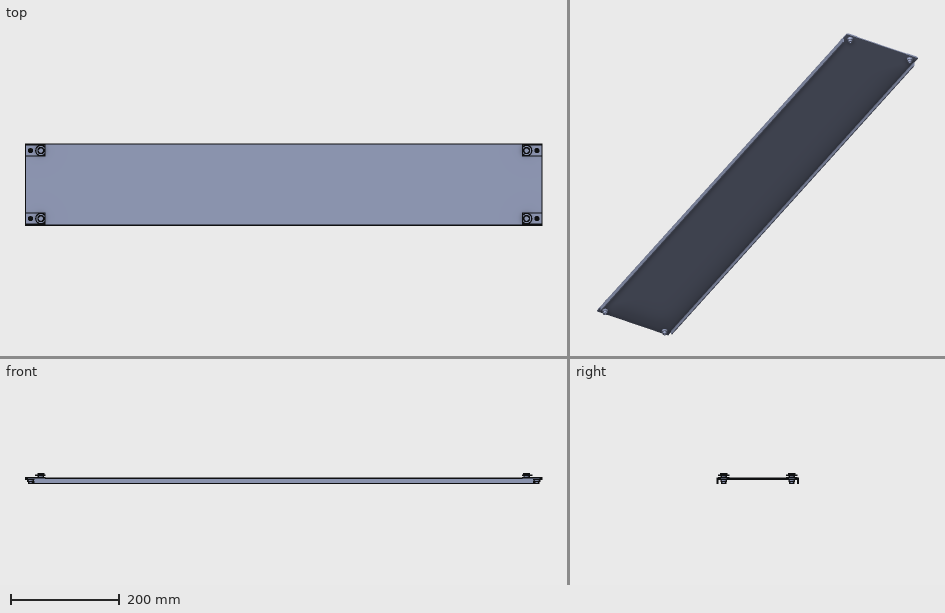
import cadquery as cq

panel_length = 950.0
panel_width = 150.0
sheet = 2.0
panel_top = 10.0
flange_length = 920.0
flange_thickness = 2.0

plate_length = 36.5
plate_width = 20.0
plate_thickness = 1.0
plate_edge_gap = 2.5
plate_top = panel_top + plate_thickness

stud_end_gap = 9.5
stud_diameter = 7.5
stud_bore = 3.0
collar_diameter = 11.0
collar_bottom = 4.0

knob_end_gap = 28.5
overall_height = 18.6
neck_diameter = 10.0
disc_diameter = 19.0
disc_bottom = 15.0
disc_top = 16.0
cap_diameter = 11.5

plate_center_y = panel_width / 2 - plate_edge_gap - plate_width / 2
stud_x = panel_length / 2 - stud_end_gap
knob_x = panel_length / 2 - knob_end_gap
plate_center_x = (panel_length - plate_length) / 2

corners = [(sx, sy) for sx in (-1, 1) for sy in (-1, 1)]


def block(length, width, bottom, top, x=0.0, y=0.0):
    """Rectangular block centred on (x, y) between two heights."""
    return cq.Workplane("XY", origin=(x, y, bottom)).rect(length, width).extrude(top - bottom)


def cylinder(diameter, bottom, top, x, y):
    """Upright cylinder centred on (x, y) between two heights."""
    return cq.Workplane("XY", origin=(x, y, bottom)).circle(diameter / 2).extrude(top - bottom)


def make_panel():
    """Sheet with two long flanges and a hole for each locating stud."""
    body = block(panel_length, panel_width, panel_top - sheet, panel_top)
    channel = block(flange_length, panel_width, 0.0, panel_top)
    channel = channel.cut(block(flange_length, panel_width - 2 * flange_thickness, 0.0, panel_top - sheet))
    body = body.union(channel)
    for sx, sy in corners:
        body = body.cut(cylinder(stud_diameter, 0.0, panel_top, sx * stud_x, sy * plate_center_y))
    return body


def make_fastening_plate(sx, sy):
    """Flat plate with a bored, collared stud passing down through the panel."""
    x = sx * stud_x
    y = sy * plate_center_y
    body = block(plate_length, plate_width, panel_top, plate_top, sx * plate_center_x, y)
    body = body.union(cylinder(stud_diameter, 0.0, panel_top, x, y))
    body = body.union(cylinder(collar_diameter, collar_bottom, panel_top - sheet, x, y))
    return body.cut(cylinder(stud_bore, 0.0, plate_top, x, y))


def make_knob(sx, sy):
    """Clamp knob standing on the inner end of a fastening plate."""
    x = sx * knob_x
    y = sy * plate_center_y
    trim = block(plate_length, plate_width, disc_bottom, disc_top, sx * plate_center_x, y)
    disc = cylinder(disc_diameter, disc_bottom, disc_top, x, y).intersect(trim)
    neck = cylinder(neck_diameter, plate_top, disc_bottom, x, y)
    cap = cylinder(cap_diameter, disc_top, overall_height, x, y)
    return neck.union(disc).union(cap)


panel = make_panel()
fastening_plates = [make_fastening_plate(sx, sy).val() for sx, sy in corners]
knobs = [make_knob(sx, sy).val() for sx, sy in corners]
result = cq.Compound.makeCompound([panel.val(), *fastening_plates, *knobs])